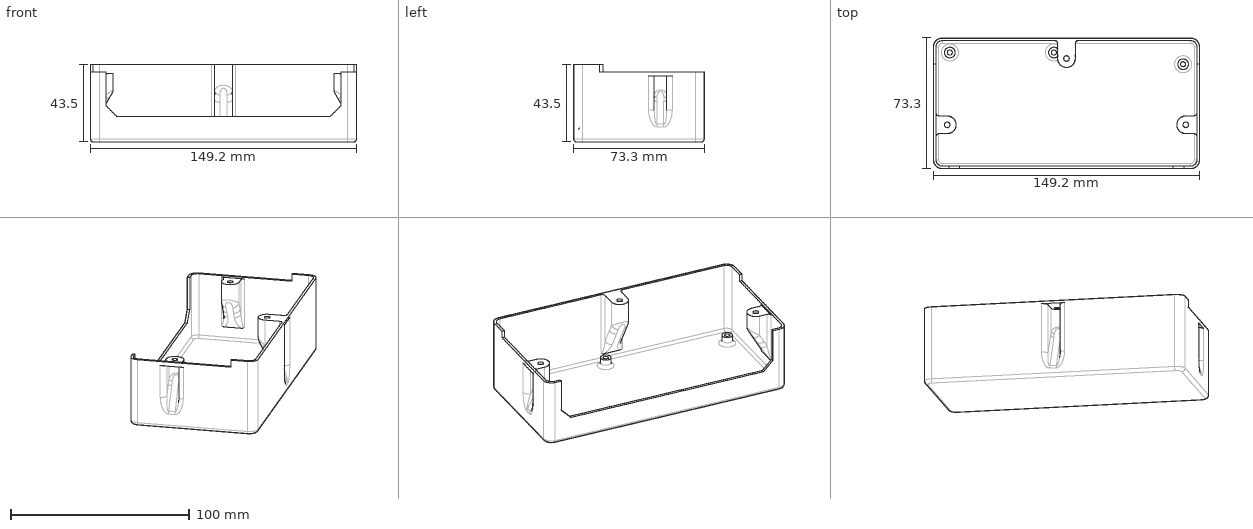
import cadquery as cq
import math

length = 149.2
width = 73.3
height = 43.5
wall = 1.5
floor = 1.5
corner_radius = 5.0
bottom_radius = 2.0
floor_radius = 1.5

rim_height = 39.4
raised_rim_depth = 14.6

window_width = 131.6
window_bottom = 14.5
window_chamfer = 6.0

lug_radius = 5.0
lug_edge_radius = 3.1
lug_flare = 1.6
lug_slope = 60.0
lug_hole = 3.1
side_hole_offset = 7.8
side_lug_top = 38.5
side_lug_drop = 10.0
side_lug_y = 24.6 - width / 2
rear_hole_offset = 11.5
rear_lug_drop = 12.5

standoff_diameter = 6.0
standoff_hole = 2.8
standoff_height = 5.0
standoff_fillet = 1.8
standoff_points = [(-65.3, 28.5), (-7.0, 28.5), (65.3, 22.0)]


def tray():
    body = cq.Workplane("XY").box(length, width, height, centered=(True, True, False))
    body = body.edges("|Z").fillet(corner_radius).faces("<Z").edges().fillet(bottom_radius)
    room = (
        cq.Workplane("XY", origin=(0, 0, floor))
        .rect(length - 2 * wall, width - 2 * wall)
        .extrude(height)
        .edges("|Z")
        .fillet(corner_radius - wall)
        .faces("<Z")
        .edges()
        .fillet(floor_radius)
    )
    return body.cut(room)


def rim_cut():
    """Block above the low rim, in front of the raised rear part."""
    depth = width - raised_rim_depth
    return cq.Workplane("XY", origin=(0, -width / 2, rim_height)).box(
        length, depth, height, centered=(True, False, False)
    )


def window_cut():
    """Front opening with chamfered lower corners."""
    return (
        cq.Workplane("XY", origin=(0, -width / 2, window_bottom))
        .box(window_width, wall, height, centered=(True, False, False))
        .edges("<Z and |Y")
        .chamfer(window_chamfer)
    )


def sloped_lug(plan, base, radius, reach, top, tip_z):
    """Plan outline raised to top, with an underside that drops from the nose to the wall."""
    slope = math.tan(math.radians(lug_slope))
    back = base - wall
    side = (
        cq.Workplane("YZ")
        .moveTo(back, tip_z - (reach - back) * slope)
        .lineTo(reach, tip_z)
        .lineTo(reach, top)
        .lineTo(back, top)
        .close()
        .extrude(2 * radius, both=True)
    )
    return plan.extrude(top).intersect(side)


def lug_body(reach, top, tip_z):
    """Lug that flares into the inner face of the wall, pointing to +Y from y = 0.

    A strip inside the wall carries the flare, so the rounded lower edge runs out along it.
    """
    strip_x = 2 * lug_radius
    flare_x = lug_radius + lug_flare
    flare_y = wall + lug_flare
    bend = lug_flare * math.sqrt(0.5)
    nose_y = reach - lug_radius
    plan = (
        cq.Workplane("XY")
        .moveTo(-strip_x, 0)
        .lineTo(-strip_x, wall)
        .lineTo(-flare_x, wall)
        .threePointArc((bend - flare_x, flare_y - bend), (-lug_radius, flare_y))
        .lineTo(-lug_radius, nose_y)
        .threePointArc((0, reach), (lug_radius, nose_y))
        .lineTo(lug_radius, flare_y)
        .threePointArc((flare_x - bend, flare_y - bend), (flare_x, wall))
        .lineTo(strip_x, wall)
        .lineTo(strip_x, 0)
        .close()
    )
    lug = sloped_lug(plan, wall, lug_radius, reach, top, tip_z)
    rim = cq.selectors.BoxSelector((0.01 - strip_x, wall / 2, 0), (strip_x - 0.01, reach + 1.5, height))
    return lug.faces("<Z").edges(rim).fillet(lug_edge_radius)


def lug_cavity(reach, top, tip_z):
    """Hollow of the lug with a flared mouth in the outer face of the wall at y = 0."""
    radius = lug_radius - wall
    flare = lug_flare + wall
    nose_y = reach - radius
    plan = (
        cq.Workplane("XY")
        .moveTo(-radius, 0)
        .lineTo(-radius, nose_y)
        .threePointArc((0, reach), (radius, nose_y))
        .lineTo(radius, 0)
        .close()
    )
    hollow = sloped_lug(plan, 0, radius, reach, top, tip_z)
    rim = cq.selectors.BoxSelector((-length, 0.01, 0), (length, reach + 1.5, height))
    hollow = hollow.faces("<Z").edges(rim).fillet(lug_edge_radius - wall)

    plate = cq.Workplane("XY").box(2 * (radius + 2 * flare), wall, top, centered=(True, False, False))
    hollow = hollow.union(plate.translate((0, -wall, 0)))
    mouth = cq.selectors.BoxSelector((-radius - 0.01, -0.01, 0.01), (radius + 0.01, 0.01, top - 0.01))
    return hollow.edges(mouth).fillet(flare)


def lug_parts(hole_offset, top, drop):
    """Solid lug and the matching cavity with its screw hole, for a wall face at y = 0."""
    reach = hole_offset + lug_radius
    tip_z = top - drop
    slope = math.radians(lug_slope)
    inner_tip_z = tip_z + wall / math.cos(slope) - wall * math.tan(slope)
    cavity = lug_cavity(reach - wall, top - wall, inner_tip_z)
    hole = cq.Workplane("XY", origin=(0, hole_offset, top - 2 * wall)).circle(lug_hole / 2).extrude(2 * wall)
    return lug_body(reach, top, tip_z), cavity.union(hole)


def add_lug(body, parts, angle, position):
    outer, cavity = [p.rotate((0, 0, 0), (0, 0, 1), angle).translate(position) for p in parts]
    return body.union(outer).cut(cavity)


def standoff(point):
    """Standoff with a concave flare at its foot."""
    radius = standoff_diameter / 2
    foot = radius + standoff_fillet
    bend = standoff_fillet * (1 - math.sqrt(0.5))
    profile = (
        cq.Workplane("XZ")
        .moveTo(0, -floor / 2)
        .lineTo(foot, -floor / 2)
        .lineTo(foot, 0)
        .threePointArc((radius + bend, bend), (radius, standoff_fillet))
        .lineTo(radius, standoff_height)
        .lineTo(0, standoff_height)
        .close()
    )
    post = profile.revolve(360, (0, 0, 0), (0, 1, 0))
    post = post.cut(cq.Workplane("XY").circle(standoff_hole / 2).extrude(standoff_height))
    return post.translate((point[0], point[1], floor))


result = tray().cut(rim_cut()).cut(window_cut())

side_lug = lug_parts(side_hole_offset, side_lug_top, side_lug_drop)
result = add_lug(result, side_lug, -90, (-length / 2, side_lug_y, 0))
result = add_lug(result, side_lug, 90, (length / 2, side_lug_y, 0))

rear_lug = lug_parts(rear_hole_offset, height, rear_lug_drop)
result = add_lug(result, rear_lug, 180, (0, width / 2, 0))

for point in standoff_points:
    result = result.union(standoff(point))